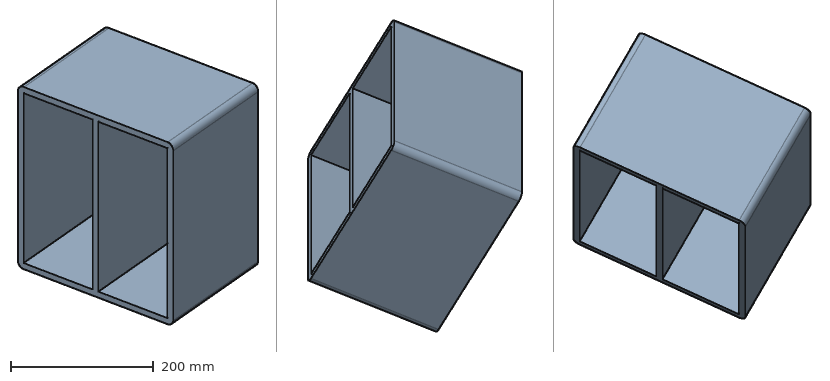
import cadquery as cq

width = 271.0
depth = 200.0
height = 298.0

panel = 10.0
corner_radius = panel

bay_width = (width - 3 * panel) / 2
bay_height = height - 2 * panel
bay_offset = (bay_width + panel) / 2

case = cq.Workplane("XY").box(width, depth, height).edges("|Y").fillet(corner_radius)

bays = (
    cq.Workplane("XZ")
    .pushPoints([(-bay_offset, 0), (bay_offset, 0)])
    .rect(bay_width, bay_height)
    .extrude(depth, both=True)
)

result = case.cut(bays)